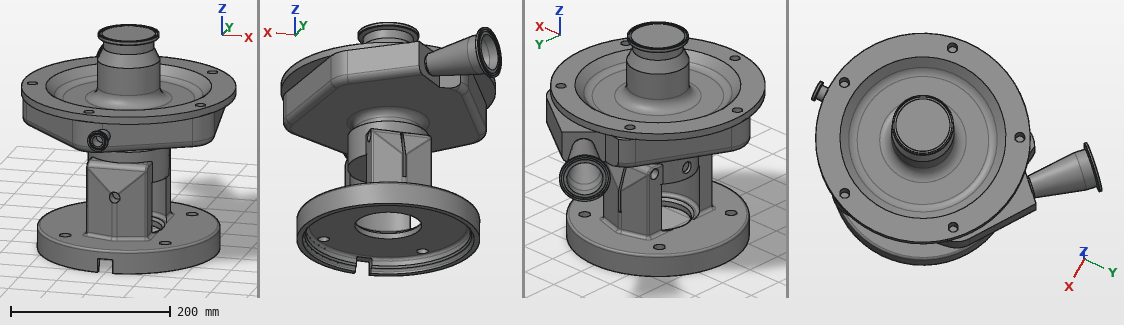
import cadquery as cq
import math

base_radius = 115.0
base_height = 30.2
base_top_fillet = 3.0
base_bore_radius = 42.0
base_bore_chamfer = 3.5
register_radius = 108.0
register_depth = 6.0
register_fillet = 3.0
recess_radius = 103.5
recess_ceiling = 19.5
recess_fillet = 4.0
recess_mouth_chamfer = 3.0
motor_bolt_radius = 92.0
motor_bolt_hole_diameter = 14.5
motor_bolt_count = 4
drain_slot_width = 20.0
drain_slot_height = 18.2
drain_slot_fillet = 1.5

leg_width = 79.0
leg_top = 126.4
leg_shoulder = 58.3
leg_prow = 70.0
leg_prow_fillet = 11.0
leg_shoulder_fillet = 3.0
leg_top_side_fillet = 2.5
leg_top_fillet = 10.0
leg_foot_fillet = 4.5
leg_relief_radius = 52.4
leg_slope_angle = 19.0
leg_slope_reach = 56.3
prow_hole_diameter = 13.7
prow_hole_height = 85.7
clamp_slit_width = 3.4
clamp_slit_bottom = 58.0
clamp_hole_diameter = 14.0
clamp_hole_offset = 47.2
clamp_hole_height = 117.3

collar_radius = 51.0
collar_bottom = 97.9
collar_top = 140.6
collar_hole_diameter = 15.4
collar_hole_height = 113.3
collar_hole_depth = 5.0
neck_radius = 41.8
neck_fillet = 10.0

casing_bottom = 160.3
casing_top = 202.6
casing_bottom_fillet = 9.2
corner_count = 5
regular_corner_count = 3
corner_pitch = 360.0 / corner_count
corner_centre_radius = 98.7
corner_radius = 34.8
first_corner_angle = -27.0
throat_face_angle = 153.0
throat_lip_angle = 117.0
throat_wall_angle = -9.0
outlet_wall_angle = 55.2
outlet_entry_angle = 9.0
outlet_corner_offset = 70.0

cover_radius = 135.0
cover_top = 212.0
cover_bolt_radius = 121.8
cover_bolt_hole_diameter = 12.5
cover_bolt_hole_depth = 20.0
cover_first_bolt_angle = 45.0
dish_rim_radius = 104.3
dish_cone_end_radius = 93.3
dish_fillet = 15.0
dish_cone_angle = 45.0

inlet_hub_radius = 39.4
inlet_hub_top = 247.3
inlet_cone_top = 263.0
inlet_tube_radius = 31.75
inlet_top = 281.5
inlet_ferrule_radius = 38.4
inlet_ferrule_height = 6.7
inlet_rim_height = 3.7
inlet_groove_radius = 35.2
inlet_groove_width = 2.6

outlet_direction = 135.0
outlet_side_direction = outlet_direction - 90
outlet_axis_height = 180.4
outlet_axis_offset = 96.0
outlet_block_end = 109.3
outlet_neck_end = 112.0
outlet_cone_end = 176.5
outlet_tip = 195.0
outlet_neck_radius = 12.5
outlet_cone_small_radius = 14.5
outlet_tube_radius = 24.8
outlet_bore_radius = 22.7
outlet_small_bore_radius = 11.0
outlet_bore_end = 183.0
outlet_bore_cone_end = 170.0
outlet_bore_cone_radius = 20.5
outlet_ferrule_radius = 32.0
outlet_ferrule_height = 4.5
outlet_rim_height = 2.8
outlet_groove_radius = 28.2
outlet_groove_width = 2.6

port_axis_height = 183.3
port_tip = 150.5
port_root = 120.0
port_tube_radius = 9.4
port_bore_radius = 7.0
port_bore_depth = 20.0
port_ferrule_radius = 13.0
port_ferrule_height = 4.6
port_rim_height = 3.5
port_groove_radius = 10.1
port_groove_width = 1.6

gasket_groove_depth = 1.0

pick_margin = 0.5


def polar(radius, angle):
    return radius * math.cos(math.radians(angle)), radius * math.sin(math.radians(angle))


def along(start, distance, angle):
    step = polar(distance, angle)
    return start[0] + step[0], start[1] + step[1]


def line_crossing(point_a, angle_a, point_b, angle_b):
    """Crossing of two lines, each given by a point and a direction angle."""
    ax, ay = polar(1, angle_a)
    bx, by = polar(1, angle_b)
    gap_x = point_b[0] - point_a[0]
    gap_y = point_b[1] - point_a[1]
    distance = (gap_x * by - gap_y * bx) / (ax * by - ay * bx)
    return along(point_a, distance, angle_a)


def edges_around(point, height):
    """Selects edges whose centre lies close to a point in plan at a given height."""
    x, y = point
    return cq.selectors.BoxSelector(
        (x - pick_margin, y - pick_margin, height - pick_margin),
        (x + pick_margin, y + pick_margin, height + pick_margin),
    )


def cylinder(radius, bottom, top):
    return cq.Workplane("XY").workplane(offset=bottom).circle(radius).extrude(top - bottom)


def revolved(points):
    """Turn a closed (radius, height) outline about the Z axis."""
    return cq.Workplane("XZ").polyline(points).close().revolve(360, (0, 0, 0), (0, 1, 0))


def ferrule_points(tube_radius, rim_radius, tip, height, rim_height):
    """Outer outline of a clamp ferrule, from the tube to the axis at the tip."""
    flare_radius = rim_radius - (height - rim_height) / 3
    return [
        (tube_radius, tip - height),
        (flare_radius, tip - rim_height - (height - rim_height) / 3),
        (rim_radius, tip - rim_height),
        (rim_radius, tip),
        (0, tip),
    ]


def gasket_groove(radius, width, tip):
    """Shallow ring cut into a ferrule face."""
    groove = cylinder(radius + width / 2, tip - gasket_groove_depth, tip)
    return groove.cut(cylinder(radius - width / 2, tip - gasket_groove_depth, tip))


def make_base():
    base = cylinder(base_radius, 0, base_height).faces(">Z").edges().fillet(base_top_fillet)
    register = cylinder(register_radius, 0, register_depth)
    register = register.faces(">Z").edges().fillet(register_fillet)
    recess = cylinder(recess_radius, 0, recess_ceiling).faces(">Z").edges().fillet(recess_fillet)
    mouth_radius = recess_radius + recess_mouth_chamfer / 2
    mouth = revolved([
        (0, register_depth),
        (mouth_radius, register_depth),
        (recess_radius, register_depth + recess_mouth_chamfer),
        (0, register_depth + recess_mouth_chamfer),
    ])
    slot = (
        cq.Workplane("XY")
        .box(drain_slot_width, base_radius, drain_slot_height, centered=(True, False, False))
        .translate((0, -base_radius, 0))
        .edges("|Y and >Z")
        .fillet(drain_slot_fillet)
    )
    bolt_holes = (
        cq.Workplane("XY")
        .polarArray(motor_bolt_radius, 180 / motor_bolt_count, 360, motor_bolt_count)
        .circle(motor_bolt_hole_diameter / 2)
        .extrude(base_height)
    )
    return base.cut(register).cut(recess).cut(mouth).cut(slot).cut(bolt_holes)


def make_base_bore():
    return revolved([
        (0, 0),
        (base_bore_radius, 0),
        (base_bore_radius, base_height - base_bore_chamfer),
        (base_bore_radius + base_bore_chamfer, base_height),
        (0, base_height),
    ])


def make_leg():
    """The leg on the -Y side, still solid towards the axis."""
    half = leg_width / 2
    middle_height = (base_height + leg_top) / 2
    outline = [(-half, 0), (-half, -leg_shoulder), (0, -leg_prow), (half, -leg_shoulder), (half, 0)]
    leg = cq.Workplane("XY").workplane(offset=base_height).polyline(outline).close()
    leg = leg.extrude(leg_top - base_height)
    leg = leg.edges("|Z and <Y").fillet(leg_prow_fillet)
    shoulders = edges_around((-half, -leg_shoulder), middle_height) + edges_around(
        (half, -leg_shoulder), middle_height
    )
    leg = leg.edges(shoulders).fillet(leg_shoulder_fillet)
    slope_run = (leg_top - base_height) * math.tan(math.radians(leg_slope_angle))
    above_slope = (
        cq.Workplane("YZ")
        .polyline([
            (-leg_slope_reach, leg_top),
            (-leg_slope_reach - slope_run, base_height),
            (-leg_slope_reach - slope_run, leg_top),
        ])
        .close()
        .extrude(half, both=True)
    )
    leg = leg.cut(above_slope)
    leg = leg.faces(">Z").edges("<Y").fillet(leg_top_fillet)
    top_sides = cq.selectors.BoxSelector(
        (-half - pick_margin, -leg_shoulder, leg_top - pick_margin),
        (half + pick_margin, -pick_margin, leg_top + pick_margin),
    )
    return leg.edges(top_sides).edges("|Y").fillet(leg_top_side_fillet)


def make_legs():
    front_leg = make_leg()
    return front_leg.union(front_leg.rotate((0, 0, 0), (0, 0, 1), 180))


def make_frame():
    relief = cylinder(leg_relief_radius, base_height, collar_bottom)
    upper_bore = cylinder(collar_radius, collar_bottom, leg_top)
    legs = make_legs().cut(relief).cut(upper_bore)
    frame = make_base().union(legs)
    foot_box = cq.selectors.BoxSelector(
        (-leg_width / 2 - pick_margin, -leg_prow, base_height - pick_margin),
        (leg_width / 2 + pick_margin, leg_prow, base_height + pick_margin),
    )
    frame = frame.edges(foot_box).fillet(leg_foot_fillet)
    return frame.cut(make_base_bore())


def drill_legs(body):
    prow_hole = (
        cq.Workplane("XZ")
        .center(0, prow_hole_height)
        .circle(prow_hole_diameter / 2)
        .extrude(leg_prow)
    )
    clamp_hole = (
        cq.Workplane("YZ")
        .center(clamp_hole_offset, clamp_hole_height)
        .circle(clamp_hole_diameter / 2)
        .extrude(leg_width / 2, both=True)
    )
    slit_length = leg_prow - collar_radius
    clamp_slit = (
        cq.Workplane("XY")
        .box(clamp_slit_width, slit_length, leg_top - clamp_slit_bottom, centered=(True, False, False))
        .translate((0, collar_radius, clamp_slit_bottom))
    )
    return body.cut(prow_hole).cut(clamp_hole).cut(clamp_slit)


def make_collar():
    collar = cylinder(collar_radius, collar_bottom, collar_top)
    side_hole = (
        cq.Workplane("YZ")
        .workplane(offset=-collar_radius)
        .center(0, collar_hole_height)
        .circle(collar_hole_diameter / 2)
        .extrude(collar_hole_depth)
    )
    return collar.cut(side_hole)


def make_neck():
    flare_radius = neck_radius + neck_fillet
    flare_start = casing_bottom - neck_fillet
    middle = along((flare_radius, flare_start), neck_fillet, 135)
    return (
        cq.Workplane("XZ")
        .moveTo(0, collar_top)
        .lineTo(neck_radius, collar_top)
        .lineTo(neck_radius, flare_start)
        .threePointArc(middle, (flare_radius, casing_bottom))
        .lineTo(0, casing_bottom)
        .close()
        .revolve(360, (0, 0, 0), (0, 1, 0))
    )


def add_corner(path, centre, start_angle, end_angle):
    """Line to a rounded corner, then the arc around it."""
    path = path.lineTo(*along(centre, corner_radius, start_angle))
    middle = along(centre, corner_radius, (start_angle + end_angle) / 2)
    return path.threePointArc(middle, along(centre, corner_radius, end_angle))


def make_casing():
    half_pitch = corner_pitch / 2
    corner_face_distance = corner_centre_radius * math.cos(math.radians(half_pitch))

    entry_face_middle = polar(corner_face_distance, outlet_entry_angle)
    entry_corner = along(entry_face_middle, outlet_corner_offset, outlet_entry_angle + 90)
    wall_start = along(entry_corner, corner_radius, outlet_wall_angle)

    throat_middle = polar(corner_face_distance, throat_face_angle)
    throat_centre = along(throat_middle, outlet_corner_offset, throat_face_angle - 90)
    lip = along(throat_centre, corner_radius, throat_lip_angle)

    end_middle = polar(outlet_block_end, outlet_direction)
    block_tip = line_crossing(end_middle, outlet_side_direction, wall_start, outlet_wall_angle + 90)
    throat_root = line_crossing(end_middle, outlet_side_direction, lip, throat_wall_angle)

    path = cq.Workplane("XY").workplane(offset=casing_bottom).moveTo(*lip)
    path = path.lineTo(*throat_root).lineTo(*block_tip).lineTo(*wall_start)
    entry_middle = along(entry_corner, corner_radius, (outlet_wall_angle + outlet_entry_angle) / 2)
    entry_end = along(entry_corner, corner_radius, outlet_entry_angle)
    path = path.threePointArc(entry_middle, entry_end)
    for index in range(regular_corner_count):
        angle = first_corner_angle - index * corner_pitch
        path = add_corner(path, polar(corner_centre_radius, angle), angle + half_pitch, angle - half_pitch)
    path = add_corner(path, throat_centre, throat_face_angle, throat_lip_angle)
    casing = path.close().extrude(casing_top - casing_bottom)

    throat_edge_middle = ((lip[0] + throat_root[0]) / 2, (lip[1] + throat_root[1]) / 2)
    end_edge_middle = ((block_tip[0] + throat_root[0]) / 2, (block_tip[1] + throat_root[1]) / 2)
    sharp_edges = edges_around(throat_edge_middle, casing_bottom)
    sharp_edges = sharp_edges + edges_around(end_edge_middle, casing_bottom)
    bottom_edges = cq.StringSyntaxSelector("<Z")
    rounded_edges = cq.selectors.SubtractSelector(bottom_edges, sharp_edges)
    return casing.edges(rounded_edges).fillet(casing_bottom_fillet)


def make_cover():
    return cylinder(cover_radius, casing_top, cover_top)


def make_dish():
    """Ring-shaped hollow around the inlet hub."""
    cone_drop = (dish_rim_radius - dish_cone_end_radius) * math.tan(math.radians(dish_cone_angle))
    cone_end = cover_top - cone_drop
    fillet_drop = dish_fillet * (1 - math.cos(math.radians(dish_cone_angle)))
    floor = cone_end - fillet_drop
    floor_outer = dish_cone_end_radius - dish_fillet * math.sin(math.radians(dish_cone_angle))
    outer_middle = along((floor_outer, floor + dish_fillet), dish_fillet, -90 + dish_cone_angle / 2)
    floor_inner = inlet_hub_radius + dish_fillet
    inner_middle = along((floor_inner, floor + dish_fillet), dish_fillet, 225)
    return (
        cq.Workplane("XZ")
        .moveTo(dish_rim_radius, cover_top)
        .lineTo(dish_cone_end_radius, cone_end)
        .threePointArc(outer_middle, (floor_outer, floor))
        .lineTo(floor_inner, floor)
        .threePointArc(inner_middle, (inlet_hub_radius, floor + dish_fillet))
        .lineTo(inlet_hub_radius, cover_top)
        .close()
        .revolve(360, (0, 0, 0), (0, 1, 0))
    )


def make_cover_bolt_holes():
    return (
        cq.Workplane("XY")
        .workplane(offset=cover_top - cover_bolt_hole_depth)
        .polarArray(cover_bolt_radius, cover_first_bolt_angle, 360, corner_count)
        .circle(cover_bolt_hole_diameter / 2)
        .extrude(cover_bolt_hole_depth)
    )


def make_inlet():
    inlet = revolved(
        [
            (0, casing_top),
            (inlet_hub_radius, casing_top),
            (inlet_hub_radius, inlet_hub_top),
            (inlet_tube_radius, inlet_cone_top),
        ]
        + ferrule_points(
            inlet_tube_radius, inlet_ferrule_radius, inlet_top, inlet_ferrule_height, inlet_rim_height
        )
    )
    return inlet.cut(gasket_groove(inlet_groove_radius, inlet_groove_width, inlet_top))


def place_outlet(shape):
    """Lay a shape built along Z onto the outlet axis."""
    side_x, side_y = polar(outlet_axis_offset, outlet_side_direction)
    laid = shape.rotate((0, 0, 0), (1, 0, 0), -90).rotate((0, 0, 0), (0, 0, 1), outlet_side_direction)
    return laid.translate((side_x, side_y, outlet_axis_height))


def make_outlet():
    nozzle = revolved(
        [
            (0, outlet_block_end),
            (outlet_neck_radius, outlet_block_end),
            (outlet_neck_radius, outlet_neck_end),
            (outlet_cone_small_radius, outlet_neck_end),
            (outlet_tube_radius, outlet_cone_end),
        ]
        + ferrule_points(
            outlet_tube_radius, outlet_ferrule_radius, outlet_tip, outlet_ferrule_height, outlet_rim_height
        )
    )
    bore = revolved([
        (0, outlet_neck_end),
        (outlet_small_bore_radius, outlet_neck_end),
        (outlet_bore_cone_radius, outlet_bore_cone_end),
        (outlet_bore_radius, outlet_bore_end),
        (outlet_bore_radius, outlet_tip),
        (0, outlet_tip),
    ])
    groove = gasket_groove(outlet_groove_radius, outlet_groove_width, outlet_tip)
    return place_outlet(nozzle.cut(bore).cut(groove))


def place_port(shape):
    """Lay a shape built along Z onto the drain port axis, pointing to -Y."""
    return shape.rotate((0, 0, 0), (1, 0, 0), 90).translate((0, 0, port_axis_height))


def make_port():
    port = revolved(
        [(0, port_root), (port_tube_radius, port_root)]
        + ferrule_points(
            port_tube_radius, port_ferrule_radius, port_tip, port_ferrule_height, port_rim_height
        )
    )
    return place_port(port.cut(gasket_groove(port_groove_radius, port_groove_width, port_tip)))


def make_port_bore():
    return place_port(cylinder(port_bore_radius, port_tip - port_bore_depth, port_tip))


pump = make_casing().union(make_cover()).union(make_inlet()).cut(make_dish())
pump = pump.cut(make_cover_bolt_holes())
pump = pump.union(make_neck()).union(make_collar())
pump = pump.union(make_outlet()).union(make_port()).cut(make_port_bore())
result = drill_legs(make_frame().union(pump))